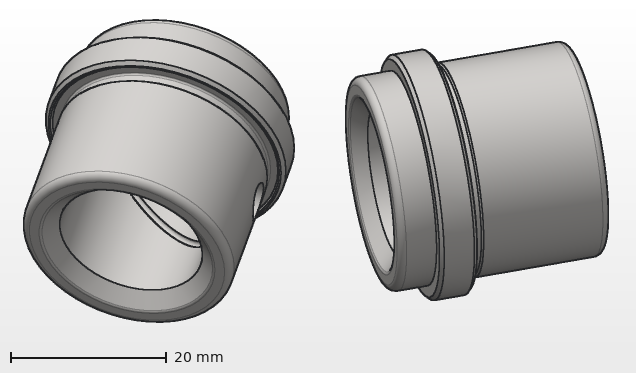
import cadquery as cq
import math


length = 28.0
body_radius = 14.0
bore_radius = 9.5
front_y = -length / 2
back_y = length / 2
end_round = 1.0

collar_radius = 16.0
collar_width = 5.0
collar_setback = 5.0
collar_chamfer = 0.5
collar_back_y = back_y - collar_setback
collar_front_y = collar_back_y - collar_width

recess_rim_radius = 15.25
recess_depth = 0.25
recess_floor_radius = recess_rim_radius - recess_depth

relief_radius = 13.75
relief_width = 1.0
relief_corner_round = 0.25

lead_in_depth = 2.0
lead_in_round = 0.5

oil_hole_radius = 2.5
oil_hole_y = -1.5

oil_groove_section_radius = 0.45
oil_groove_reach = 7.0


def revolve_about_y(profile):
    """Full turn of a closed XY profile about the Y axis."""
    return profile.revolve(360, (0, 0), (0, 1))


def make_outer_body():
    """Plain barrel with rounded ends."""
    barrel = cq.Workplane("XZ", origin=(0, back_y, 0)).circle(body_radius).extrude(length)
    return barrel.edges().fillet(end_round)


def make_collar():
    """Chamfered ring with a recessed front face, revolved about Y."""
    profile = [
        (0, collar_back_y),
        (collar_radius - collar_chamfer, collar_back_y),
        (collar_radius, collar_back_y - collar_chamfer),
        (collar_radius, collar_front_y + collar_chamfer),
        (collar_radius - collar_chamfer, collar_front_y),
        (recess_rim_radius, collar_front_y),
        (recess_floor_radius, collar_front_y + recess_depth),
        (0, collar_front_y + recess_depth),
    ]
    return revolve_about_y(cq.Workplane("XY").polyline(profile).close())


def make_relief_cutter():
    """Ring that cuts the relief groove: sloped front wall, rounded corner at the collar."""
    rear_y = collar_front_y + recess_depth
    floor_front_y = collar_front_y - relief_width
    slope_length = body_radius - relief_radius
    corner_offset = relief_corner_round * (1 - math.sqrt(0.5))
    profile = (
        cq.Workplane("XY")
        .moveTo(body_radius, floor_front_y - slope_length)
        .lineTo(relief_radius, floor_front_y)
        .lineTo(relief_radius, rear_y - relief_corner_round)
        .threePointArc(
            (relief_radius + corner_offset, rear_y - corner_offset),
            (relief_radius + relief_corner_round, rear_y),
        )
        .close()
    )
    return revolve_about_y(profile)


def cut_bore(bush):
    """Through bore with a rounded 45 degree lead-in at each mouth."""
    mouth_radius = bore_radius + lead_in_depth
    profile = [
        (0, front_y),
        (mouth_radius, front_y),
        (bore_radius, front_y + lead_in_depth),
        (bore_radius, back_y - lead_in_depth),
        (mouth_radius, back_y),
        (0, back_y),
    ]
    bore = revolve_about_y(cq.Workplane("XY").polyline(profile).close())
    bush = bush.cut(bore)
    for end_face in ("<Y", ">Y"):
        mouth = bush.faces(end_face).edges(cq.selectors.RadiusNthSelector(0))
        bush = mouth.fillet(lead_in_round)
    return bush


def make_oil_hole_cutter():
    """Cylinder along +X that breaks from the bore out through the wall."""
    start = cq.Workplane("YZ").center(oil_hole_y, 0)
    return start.circle(oil_hole_radius).extrude(collar_radius)


def make_oil_groove_cutter():
    """Round section swept along the ellipse where a tilted plane meets the bore."""
    half_major = math.hypot(bore_radius, oil_groove_reach)
    major_axis = cq.Vector(bore_radius, -oil_groove_reach, 0)
    plane_normal = cq.Vector(oil_groove_reach, bore_radius, 0)
    ellipse = cq.Edge.makeEllipse(
        half_major, bore_radius, cq.Vector(0, 0, 0), plane_normal, major_axis
    )
    path = cq.Workplane("XY").newObject([cq.Wire.assembleEdges([ellipse])])
    start_plane = cq.Plane(
        origin=ellipse.startPoint(), xDir=-plane_normal, normal=ellipse.tangentAt(0)
    )
    return cq.Workplane(start_plane).circle(oil_groove_section_radius).sweep(path)


bush = make_outer_body().union(make_collar())
bush = bush.cut(make_relief_cutter())
bush = cut_bore(bush)
bush = bush.cut(make_oil_hole_cutter())
result = bush.cut(make_oil_groove_cutter())